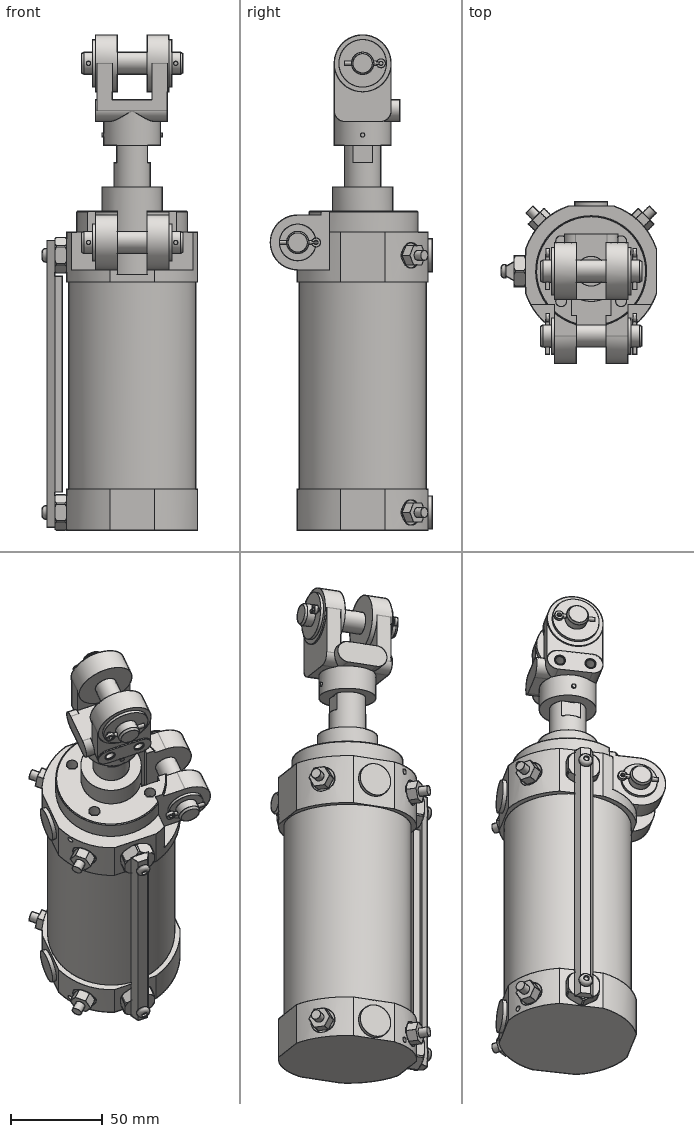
import cadquery as cq

part_height = 269.5

cap_height = 22.5
head_bottom = 135.0
head_top = 162.2
head_width = 71.1
head_diameter = 75.2
tube_diameter = 69.3
plate_diameter = 60.5
plate_top = 173.5
plate_chamfer = 0.5
collar_diameter = 33.0
collar_top = 186.8
screw_hole_diameter = 6.0
screw_hole_depth = 8
screw_hole_spacing = 32.5

fitting_drop = 12.7
fitting_heights = (cap_height - fitting_drop, head_top - fitting_drop)
port_diameter = 18.0
port_height = 2.3
valve_seat_diameter = 13.7
valve_seat_reach = 36.5
valve_nut_corners = 12.0
valve_nut_reach = 42.3
valve_stem_diameter = 5.5
valve_stem_reach = 47.5
valve_angles = (45, 135)

vent_diameter = 3.0
vent_depth = 5.5
vent_angle = 122
vent_heights = (3.5, 159.0)

ear_outer = 20.0
ear_inner = 8.0
cheek_inner = 10.8

ear_diameter = 30.0
ear_radius = ear_diameter / 2
lower_pin_y = -35.3
lower_pin_z = 156.5
shelf_y = -18.0
shelf_z = lower_pin_z - ear_radius
slot_floor = 139.0
slot_step_y = -24.0
slot_back_y = -13.7

rod_diameter = 20.0
rod_flat_width = 17.0
rod_flat_bottom = 200.0
rod_tip_diameter = 16.2

fork_width = 31.0
upper_pin_z = part_height - fork_width / 2
fork_bottom = 209.5
fork_floor = 234.2
base_height = 11.9
base_z = fork_floor - base_height / 2
cheek_outer = 19.0
pad_hole_diameter = 4.9
pad_rim_diameter = 6.0
pad_rim_depth = 0.5
pad_hole_depth = 8
pad_hole_spacing = 17.0
lug_length = 29.0
lug_reach = 20.2

cross_pin_diameter = 2.3
cross_pin_length = 33.0
cross_pin_z = 215.0

pin_diameter = 12.0
pin_length = 55.2
pin_chamfer_length = 1.3
pin_chamfer_depth = 0.8
washer_thickness = 1.5
upper_washer_diameter = 26.0
lower_washer_diameter = 20.0
cotter_x = 23.7
cotter_diameter = 2.3
cotter_tail = 10.0
cotter_eye_diameter = 4.9
cotter_eye_hole = 2.2
cotter_eye_y = 10.0
cotter_eye_thickness = 2.0

rail_inner_x = -42.0
rail_outer_x = -46.4
rail_inner_width = 10.2
rail_outer_width = 5.5
rail_bottom = 1.5
rail_top = 157.7
strip_thickness = 4.0
strip_width = 5.5
strip_bottom = 20.8
strip_top = 138.3
rail_nut_corners = 20.0
rail_nut_diameter = 19.5
rail_nut_chamfer_length = 0.8
rail_nut_chamfer_depth = 0.67
dome_diameter = 7.5
dome_height = 2.7
dome_rounding = 2.2
dome_socket_diameter = 3.0
dome_socket_depth = 1.3


def box(x0, x1, y0, y1, z0, z1):
    """Box between two opposite corners."""
    return cq.Workplane("XY").box(x1 - x0, y1 - y0, z1 - z0, centered=False).translate((x0, y0, z0))


def upright(diameter, z0, z1):
    """Cylinder on the Z axis."""
    return cq.Workplane("XY").workplane(offset=z0).circle(diameter / 2).extrude(z1 - z0)


def along_x(diameter, x0, x1, y=0, z=0):
    """Cylinder along X."""
    return cq.Workplane("YZ").workplane(offset=x0).center(y, z).circle(diameter / 2).extrude(x1 - x0)


def end_block(z0, z1):
    """Square block with round corners, as used for the cap and the head."""
    block = cq.Workplane("XY").workplane(offset=z0).rect(head_width, head_width).extrude(z1 - z0)
    return block.intersect(upright(head_diameter, z0, z1))


def radial(shape, z, angle):
    """Turn a shape built along +X to point outward at an angle and a height."""
    return shape.translate((0, 0, z)).rotate((0, 0, 0), (0, 0, 1), angle)


def needle_valve():
    """Hexagon nut and stem along +X."""
    nut = cq.Workplane("YZ").polygon(6, valve_nut_corners).extrude(valve_nut_reach)
    return nut.union(along_x(valve_stem_diameter, 0, valve_stem_reach))


def lower_ear(x0, x1):
    """Clevis ear with a round nose, joined to the head."""
    nose = along_x(ear_diameter, x0, x1, lower_pin_y, lower_pin_z)
    return nose.union(box(x0, x1, lower_pin_y, shelf_y, shelf_z, lower_pin_z + ear_radius))


def build_housing():
    """Cap, tube, head, collar, fittings and the lower clevis."""
    front = lower_pin_y - ear_radius
    plate = upright(plate_diameter, head_top, plate_top).faces(">Z").chamfer(plate_chamfer)
    body = end_block(0, cap_height).union(upright(tube_diameter, cap_height, head_bottom))
    body = body.union(end_block(head_bottom, head_top)).union(plate)

    for x0, x1 in ((-head_diameter, -ear_outer), (ear_outer, head_diameter)):
        body = body.cut(box(x0, x1, front, shelf_y, shelf_z, plate_top))

    for x0, x1 in ((-ear_outer, -ear_inner), (ear_inner, ear_outer)):
        body = body.union(lower_ear(x0, x1))

    body = body.cut(box(-ear_inner, ear_inner, front, slot_back_y, slot_floor, plate_top))
    body = body.cut(box(-cheek_inner, cheek_inner, slot_step_y, slot_back_y, slot_floor, plate_top))
    body = body.union(upright(collar_diameter, head_bottom, collar_top))

    holes = cq.Workplane("XY").workplane(offset=plate_top).rect(
        screw_hole_spacing, screw_hole_spacing, forConstruction=True
    )
    body = body.cut(holes.vertices().circle(screw_hole_diameter / 2).extrude(-screw_hole_depth))

    for z in fitting_heights:
        port = cq.Workplane("XZ").center(0, z).circle(port_diameter / 2)
        body = body.union(port.extrude(-head_width / 2 - port_height))
        for angle in valve_angles:
            spot_face = along_x(valve_seat_diameter, valve_seat_reach, head_diameter / 2)
            body = body.cut(radial(spot_face, z, angle))
            body = body.union(radial(needle_valve(), z, angle))

    radius = head_diameter / 2
    for z in vent_heights:
        vent = along_x(vent_diameter, radius - vent_depth, radius)
        body = body.cut(radial(vent, z, vent_angle))

    body = body.cut(upright(rod_diameter, head_bottom, collar_top))
    return body.cut(along_x(pin_diameter, -ear_outer, ear_outer, lower_pin_y, lower_pin_z))


def build_rod():
    """Piston rod with two wrench flats and a thinner tip that fills the fork's bore."""
    rod = upright(rod_diameter, head_bottom, fork_bottom)
    half = rod_flat_width / 2
    for x0, x1 in ((-rod_diameter, -half), (half, rod_diameter)):
        rod = rod.cut(box(x0, x1, -rod_diameter, rod_diameter, rod_flat_bottom, fork_bottom))
    rod = rod.union(upright(rod_tip_diameter, fork_bottom, fork_floor))
    return rod.cut(build_cross_pin())


def build_fork():
    """Rod-end fork: socket, rounded base, cheeks, ear discs, rear lug and side pad."""
    half = fork_width / 2
    base = cq.Workplane("YZ").workplane(offset=-ear_outer).center(0, base_z)
    base = base.slot2D(fork_width, base_height).extrude(ear_outer + cheek_outer)
    fork = upright(fork_width, fork_bottom, base_z).union(base)
    fork = fork.union(box(-cheek_outer, cheek_outer, -half, half, base_z, fork_floor))

    for x0, x1 in ((-cheek_outer, -cheek_inner), (cheek_inner, cheek_outer)):
        fork = fork.union(box(x0, x1, -half, half, base_z, upper_pin_z))
    for x0, x1 in ((-ear_outer, -ear_inner), (ear_inner, ear_outer)):
        fork = fork.union(along_x(fork_width, x0, x1, 0, upper_pin_z))

    lug = cq.Workplane("XZ").center(0, base_z).slot2D(lug_length, base_height).extrude(-lug_reach)
    fork = fork.union(lug)

    pad = cq.Workplane("YZ").workplane(offset=-ear_outer).center(0, base_z)
    pad = pad.rarray(pad_hole_spacing, 2.7, 2, 1)
    fork = fork.cut(pad.circle(pad_hole_diameter / 2).extrude(pad_hole_depth))
    fork = fork.cut(pad.circle(pad_rim_diameter / 2).extrude(pad_rim_depth))

    fork = fork.cut(upright(rod_tip_diameter, fork_bottom, fork_floor))
    fork = fork.cut(along_x(pin_diameter, -ear_outer, ear_outer, 0, upper_pin_z))
    return fork.cut(build_cross_pin())


def build_cross_pin():
    """Pin along X through the fork's socket and the rod tip."""
    return along_x(cross_pin_diameter, -cross_pin_length / 2, cross_pin_length / 2, 0, cross_pin_z)


def build_clevis_pin(washer_diameter, y, z):
    """Clevis pin along X with a washer and a cotter at each end."""
    half = pin_length / 2
    pin = along_x(pin_diameter, -half, half)
    pin = pin.faces(">X").chamfer(pin_chamfer_length, pin_chamfer_depth)
    pin = pin.faces("<X").chamfer(pin_chamfer_length, pin_chamfer_depth)
    for side in (-1, 1):
        washer = along_x(washer_diameter, side * ear_outer, side * (ear_outer + washer_thickness))
        pin = pin.union(washer)
        x = side * cotter_x
        shank = cq.Workplane("XZ").workplane(offset=cotter_tail).center(x, 0)
        pin = pin.union(shank.circle(cotter_diameter / 2).extrude(-cotter_tail - cotter_eye_y))
        half_eye = cotter_eye_thickness / 2
        pin = pin.union(along_x(cotter_eye_diameter, x - half_eye, x + half_eye, cotter_eye_y))
        pin = pin.cut(along_x(cotter_eye_hole, x - cotter_diameter, x + cotter_diameter, cotter_eye_y))
    return pin.translate((0, y, z))


def rail_fixing(z):
    """Chamfered hexagon nut against the housing flat and a domed screw head outside the rail."""
    seat_x = -head_width / 2
    nut = cq.Workplane("YZ").workplane(offset=rail_inner_x).polygon(6, rail_nut_corners)
    nut = nut.extrude(seat_x - rail_inner_x).rotate((0, 0, 0), (1, 0, 0), 90)
    round_nut = along_x(rail_nut_diameter, rail_inner_x, seat_x).faces("<X or >X")
    nut = nut.intersect(round_nut.chamfer(rail_nut_chamfer_length, rail_nut_chamfer_depth))

    tip_x = rail_outer_x - dome_height
    dome = along_x(dome_diameter, tip_x, rail_outer_x).faces("<X").edges().fillet(dome_rounding)
    socket = along_x(dome_socket_diameter, tip_x, tip_x + dome_socket_depth)
    return nut.union(dome).cut(socket).translate((0, 0, z))


def build_rail():
    """Tapered rail with an inner strip, held by a nut and screw at each end."""
    rail = (
        cq.Workplane("XY")
        .workplane(offset=rail_bottom)
        .moveTo(rail_inner_x, -rail_inner_width / 2)
        .lineTo(rail_inner_x, rail_inner_width / 2)
        .lineTo(rail_outer_x, rail_outer_width / 2)
        .lineTo(rail_outer_x, -rail_outer_width / 2)
        .close()
        .extrude(rail_top - rail_bottom)
    )
    half = strip_width / 2
    rail = rail.union(
        box(rail_inner_x, rail_inner_x + strip_thickness, -half, half, strip_bottom, strip_top)
    )
    for z in fitting_heights:
        rail = rail.union(rail_fixing(z))
    return rail


housing = build_housing()
rod = build_rod()
fork = build_fork()
cross_pin = build_cross_pin()
upper_pin = build_clevis_pin(upper_washer_diameter, 0, upper_pin_z)
lower_pin = build_clevis_pin(lower_washer_diameter, lower_pin_y, lower_pin_z)
rail = build_rail()

result = cq.Compound.makeCompound(
    [
        housing.val(),
        rod.val(),
        fork.val(),
        cross_pin.val(),
        upper_pin.val(),
        lower_pin.val(),
        rail.val(),
    ]
)